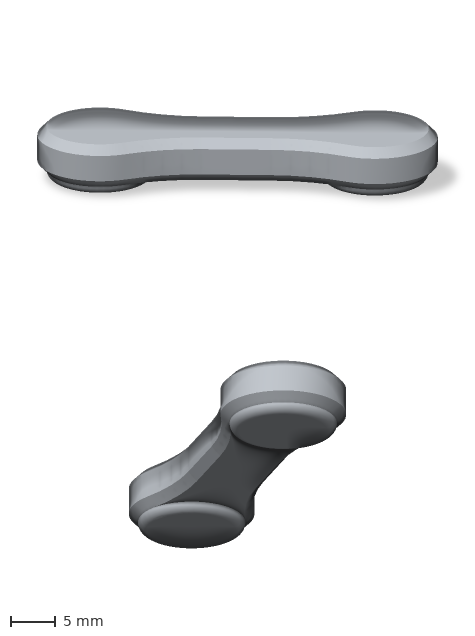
import cadquery as cq
import math

length_x = 38.82
length_y = 31.7
lobe_radius = 7.0
waist_half_width = 4.43
straight_half_length = 3.9

plate_thickness = 5.0
plate_chamfer = 1.0
pad_radius = 5.98
pad_height = 1.0

lobe_x = length_x / 2 - lobe_radius
lobe_y = length_y / 2 - lobe_radius
lobe_offset = math.hypot(lobe_x, lobe_y)
axis_angle = math.degrees(math.atan2(lobe_y, lobe_x))

neck_run = lobe_offset - straight_half_length
neck_radius = (neck_run**2 + waist_half_width**2 - lobe_radius**2) / (
    2 * (lobe_radius - waist_half_width)
)
neck_center_y = waist_half_width + neck_radius
neck_sweep = math.asin(neck_run / (neck_radius + lobe_radius))


def neck_point(sweep):
    """Point on the upper right neck arc, swept from the end of the straight waist."""
    x = straight_half_length + neck_radius * math.sin(sweep)
    y = neck_center_y - neck_radius * math.cos(sweep)
    return x, y


def make_plate():
    """Dumbbell plate along X, chamfered around its top and bottom."""
    mid_x, mid_y = neck_point(neck_sweep / 2)
    end_x, end_y = neck_point(neck_sweep)
    tip_x = lobe_offset + lobe_radius
    outline = (
        cq.Workplane("XY")
        .moveTo(-straight_half_length, waist_half_width)
        .lineTo(straight_half_length, waist_half_width)
        .threePointArc((mid_x, mid_y), (end_x, end_y))
        .threePointArc((tip_x, 0), (end_x, -end_y))
        .threePointArc((mid_x, -mid_y), (straight_half_length, -waist_half_width))
        .lineTo(-straight_half_length, -waist_half_width)
        .threePointArc((-mid_x, -mid_y), (-end_x, -end_y))
        .threePointArc((-tip_x, 0), (-end_x, end_y))
        .threePointArc((-mid_x, mid_y), (-straight_half_length, waist_half_width))
        .close()
    )
    return outline.extrude(plate_thickness).faces("<Z or >Z").edges().chamfer(plate_chamfer)


def make_pad(center_x):
    """Round foot under a lobe, its side a quarter-round down to a flat bottom."""
    flat_radius = pad_radius - pad_height
    arc_mid_reach = pad_height * math.sqrt(0.5)
    return (
        cq.Workplane("XZ")
        .lineTo(pad_radius, 0)
        .threePointArc((flat_radius + arc_mid_reach, -arc_mid_reach), (flat_radius, -pad_height))
        .lineTo(0, -pad_height)
        .close()
        .revolve(360, (0, 0, 0), (0, 1, 0))
        .translate((center_x, 0, 0))
    )


dumbbell = make_plate()
for center_x in (-lobe_offset, lobe_offset):
    dumbbell = dumbbell.union(make_pad(center_x))

result = dumbbell.rotate((0, 0, 0), (0, 0, 1), axis_angle)